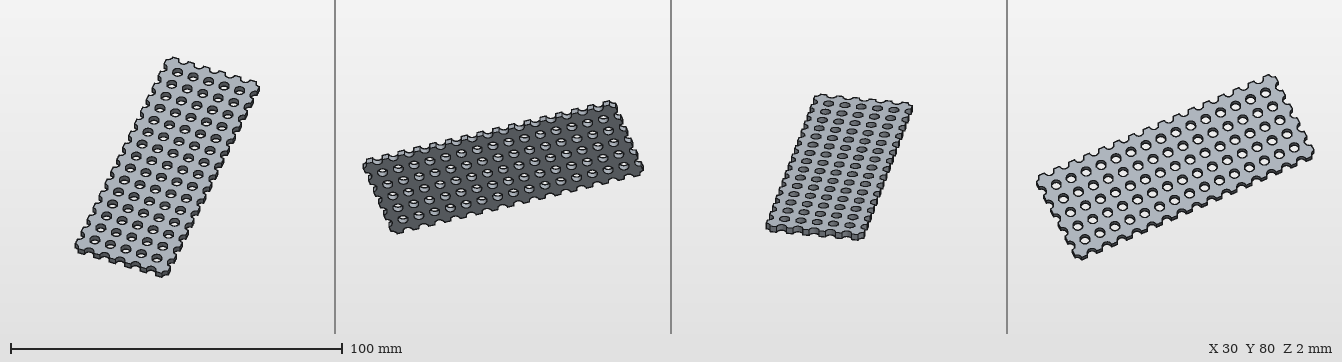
import cadquery as cq

plate_length = 80.0
plate_thickness = 2.0
spaces_across = 6
spaces_along = 16
web_width = 2.0

hole_pitch = plate_length / spaces_along
hole_diameter = hole_pitch - web_width
plate_width = spaces_across * hole_pitch

plate = cq.Workplane("XY").rect(plate_width, plate_length).extrude(plate_thickness)

holes = (
    cq.Workplane("XY")
    .rarray(hole_pitch, hole_pitch, spaces_across + 1, spaces_along + 1)
    .circle(hole_diameter / 2)
    .extrude(plate_thickness)
)

result = plate.cut(holes)